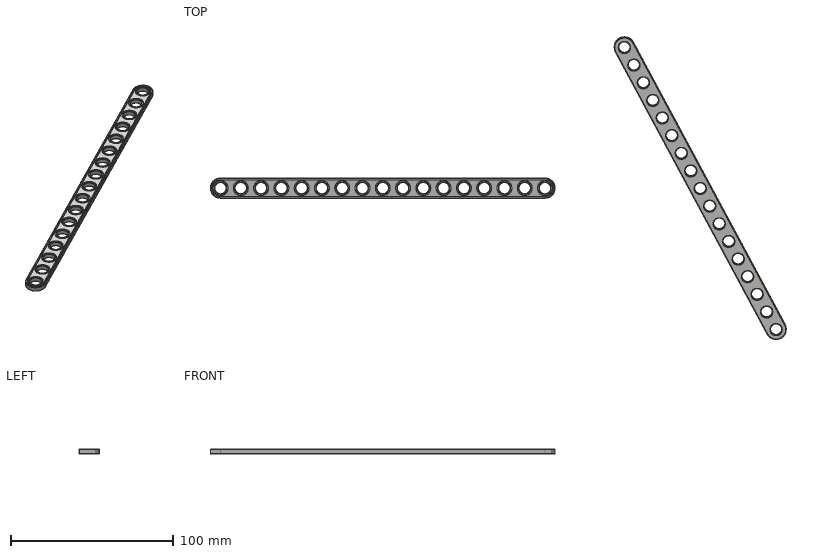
import cadquery as cq

pitch = 12.5
hole_count = 17
hole_diameter = 7.0
boss_diameter = 9.2
edge_chamfer = 0.3
recess_depth = 0.2

width = pitch
length = hole_count * pitch
thickness = pitch / 4
hole_span = (hole_count - 1) * pitch
hole_centres = [(i * pitch - hole_span / 2, 0) for i in range(hole_count)]
rim_width = (boss_diameter - hole_diameter) / 2


def make_strip():
    """Flat bar with full-round ends, chamfered along both faces."""
    strip = cq.Workplane("XY").slot2D(length, width).extrude(thickness)
    return strip.faces("<Z or >Z").edges().chamfer(edge_chamfer)


def make_hole_cutter():
    """Through hole on the Z axis, widened by a chamfer at both faces."""
    hole_radius = hole_diameter / 2
    mouth_radius = hole_radius + edge_chamfer
    profile = [
        (0, 0),
        (mouth_radius, 0),
        (hole_radius, edge_chamfer),
        (hole_radius, thickness - edge_chamfer),
        (mouth_radius, thickness),
        (0, thickness),
    ]
    return cq.Workplane("XZ").polyline(profile).close().revolve(360, (0, 0), (0, 1))


def cut_holes(strip):
    """Cut the row of evenly spaced chamfered holes."""
    cutter = make_hole_cutter()
    for x, y in hole_centres:
        strip = strip.cut(cutter.translate((x, y, 0)))
    return strip


def make_recess():
    """Shallow top recess inside the outline rim, leaving a round boss at each hole."""
    floor = cq.Workplane("XY").workplane(offset=thickness - recess_depth)
    recess = floor.slot2D(length - 2 * rim_width, width - 2 * rim_width).extrude(recess_depth)
    bosses = floor.pushPoints(hole_centres).circle(boss_diameter / 2).extrude(recess_depth)
    return recess.cut(bosses)


result = cut_holes(make_strip()).cut(make_recess())